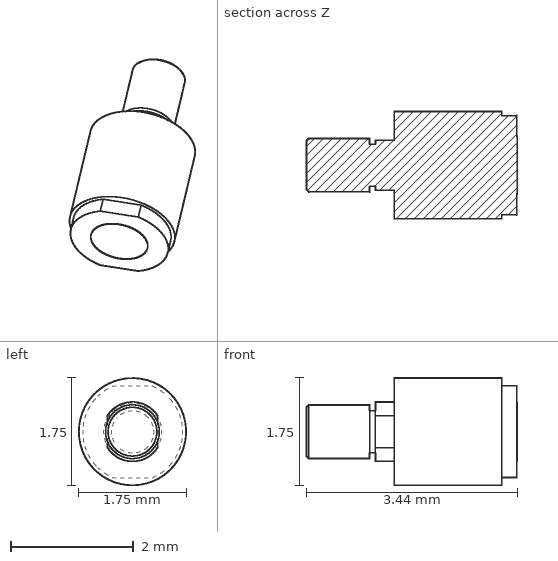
import cadquery as cq

total_length = 3.44
stud_length = 1.032
neck_length = 0.093
collar_length = 0.305
body_length = 1.755
boss_length = 0.01
cap_length = (
    total_length - stud_length - neck_length - collar_length - body_length - boss_length
)

stud_diameter = 0.877
neck_diameter = 0.688
collar_diameter = 0.97
body_diameter = 1.75
cap_diameter = 1.627
boss_diameter = 0.945

stud_chamfer = 0.04
collar_across_flats = 0.82
cap_across_flats = 1.5


def cylinder(start_x, length, diameter):
    """Solid cylinder on the X axis."""
    return cq.Workplane("YZ", origin=(start_x, 0, 0)).circle(diameter / 2).extrude(length)


def flatted_cylinder(start_x, length, diameter, width_y, width_z):
    """Cylinder on the X axis trimmed to the given widths along Y and Z."""
    envelope = (
        cq.Workplane("YZ", origin=(start_x, 0, 0)).rect(width_y, width_z).extrude(length)
    )
    return cylinder(start_x, length, diameter).intersect(envelope)


neck_start = stud_length
collar_start = neck_start + neck_length
body_start = collar_start + collar_length
cap_start = body_start + body_length
boss_start = cap_start + cap_length

stud = cylinder(0, stud_length, stud_diameter).faces("<X").chamfer(stud_chamfer)
neck = cylinder(neck_start, neck_length, neck_diameter)
collar = flatted_cylinder(
    collar_start, collar_length, collar_diameter, collar_across_flats, collar_diameter
)
body = cylinder(body_start, body_length, body_diameter)
cap = flatted_cylinder(cap_start, cap_length, cap_diameter, cap_diameter, cap_across_flats)
boss = cylinder(boss_start, boss_length, boss_diameter)

result = stud.union(neck).union(collar).union(body).union(cap).union(boss)